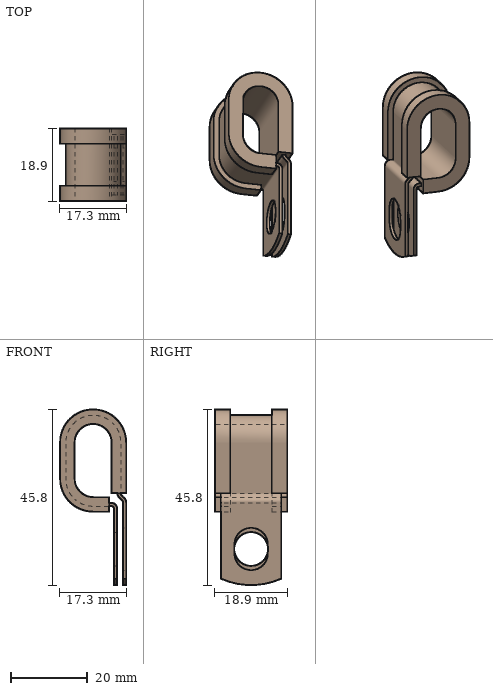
import cadquery as cq
import math

total_height = 45.85
cushion_length = 18.95
cushion_outer_radius = 17.3 / 2
cushion_wall = 3.85
cushion_inner_radius = cushion_outer_radius - cushion_wall
upper_arc_z = total_height - cushion_outer_radius
lower_arc_z = 27.8
long_leg_end_z = 23.97
short_leg_end_x = 4.15

groove_depth = 1.45
groove_width = 10.85

strap_thickness = 0.85
strap_width = 15.75
inside_bend_radius = 0.7
bend_radius = inside_bend_radius + strap_thickness / 2
strap_radius = cushion_outer_radius - groove_depth - strap_thickness / 2
embed_length = 0.9
inner_tang_x = 5.845
outer_tang_x = cushion_outer_radius - strap_thickness / 2
joggle_angle = math.radians(45)
tip_sag = 1.7
hole_width = 8.75
slot_height = 11.0
hole_z = 9.45


def loop_band(outer_radius, inner_radius, length):
    """J-shaped band between two radii, centred on y = 0."""
    ro, ri = outer_radius, inner_radius
    diagonal = math.sqrt(0.5)
    return (
        cq.Workplane("XZ")
        .moveTo(ro, long_leg_end_z)
        .lineTo(ro, upper_arc_z)
        .threePointArc((0, upper_arc_z + ro), (-ro, upper_arc_z))
        .lineTo(-ro, lower_arc_z)
        .threePointArc((-ro * diagonal, lower_arc_z - ro * diagonal), (0, lower_arc_z - ro))
        .lineTo(short_leg_end_x, lower_arc_z - ro)
        .lineTo(short_leg_end_x, lower_arc_z - ri)
        .lineTo(0, lower_arc_z - ri)
        .threePointArc((-ri * diagonal, lower_arc_z - ri * diagonal), (-ri, lower_arc_z))
        .lineTo(-ri, upper_arc_z)
        .threePointArc((0, upper_arc_z + ri), (ri, upper_arc_z))
        .lineTo(ri, long_leg_end_z)
        .close()
        .extrude(length / 2, both=True)
    )


def make_cushion():
    groove = loop_band(cushion_outer_radius, cushion_outer_radius - groove_depth, groove_width)
    return loop_band(cushion_outer_radius, cushion_inner_radius, cushion_length).cut(groove)


def sweep_up_from_tip(tang_x, path):
    """Sweep the strap section along a centreline that starts at the tang tip."""
    return cq.Workplane("XY").center(tang_x, 0).rect(strap_thickness, strap_width).sweep(path)


def make_inner_tang():
    """Straight tang with a quarter bend into the short leg of the cushion."""
    strap_z = lower_arc_z - strap_radius
    path = (
        cq.Workplane("XZ")
        .moveTo(inner_tang_x, 0)
        .lineTo(inner_tang_x, strap_z - bend_radius)
        .tangentArcPoint((inner_tang_x - bend_radius, strap_z), relative=False)
        .lineTo(short_leg_end_x - embed_length, strap_z)
    )
    return sweep_up_from_tip(inner_tang_x, path)


def make_outer_tang():
    """Straight tang joggled inward just below the long leg of the cushion."""
    arc_dx = bend_radius * (1 - math.cos(joggle_angle))
    arc_dz = bend_radius * math.sin(joggle_angle)
    slope_dx = outer_tang_x - strap_radius - 2 * arc_dx
    slope_dz = slope_dx / math.tan(joggle_angle)
    joggle_start_z = long_leg_end_z - 2 * arc_dz - slope_dz
    path = (
        cq.Workplane("XZ")
        .moveTo(outer_tang_x, 0)
        .lineTo(outer_tang_x, joggle_start_z)
        .tangentArcPoint((-arc_dx, arc_dz))
        .line(-slope_dx, slope_dz)
        .tangentArcPoint((-arc_dx, arc_dz))
        .line(0, embed_length)
    )
    return sweep_up_from_tip(outer_tang_x, path)


def tang_outline():
    """Solid along X that trims a tang to its rounded tip."""
    half_width = strap_width / 2
    return (
        cq.Workplane("YZ")
        .moveTo(-half_width, tip_sag)
        .threePointArc((0, 0), (half_width, tip_sag))
        .lineTo(half_width, total_height)
        .lineTo(-half_width, total_height)
        .close()
        .extrude(cushion_outer_radius)
    )


def bolt_cutter():
    """Cylinder along X for the round bolt hole."""
    return cq.Workplane("YZ").center(0, hole_z).circle(hole_width / 2).extrude(cushion_outer_radius)


def slot_cutter():
    """Upright slot along X, giving the bolt height adjustment."""
    return (
        cq.Workplane("YZ")
        .center(0, hole_z)
        .slot2D(slot_height, hole_width, 90)
        .extrude(cushion_outer_radius)
    )


inner_tang = make_inner_tang().intersect(tang_outline()).cut(bolt_cutter())
outer_tang = make_outer_tang().intersect(tang_outline()).cut(slot_cutter())
result = make_cushion().union(inner_tang).union(outer_tang)